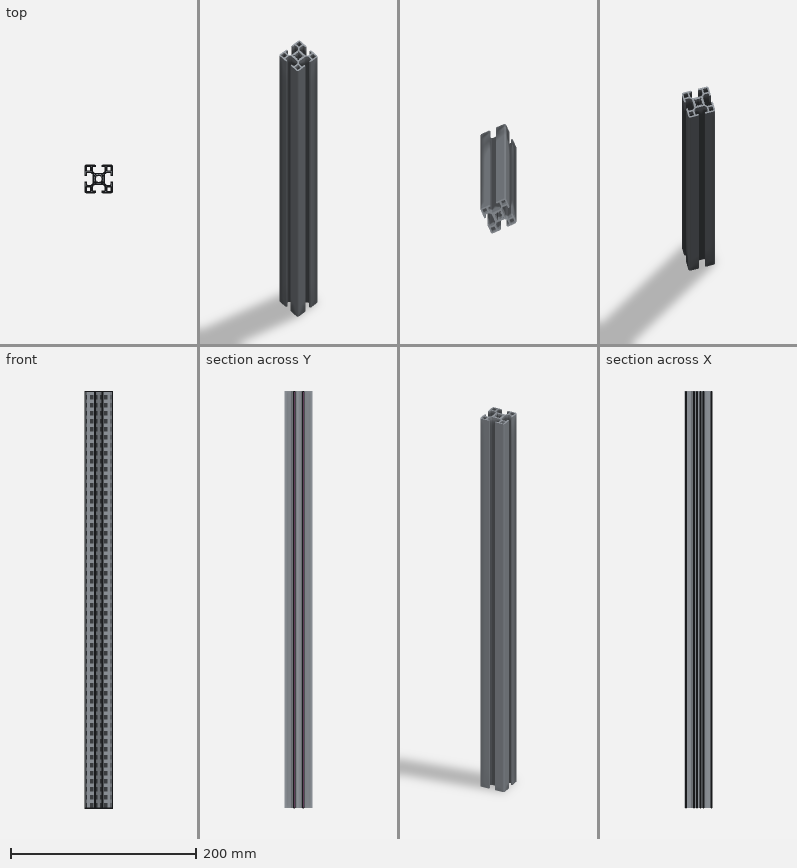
import cadquery as cq
import math

SIDE = 30.0
LENGTH = 450.0
CORNER_RADIUS = 2.0

SLOT_OPENING = 7.1
MOUTH_STEP_WIDTH = 0.85
MOUTH_STEP_DEPTH = 0.3
SLOT_WIDTH = 13.8
LIP_THICKNESS = 1.85
SLOT_CORNER_FILLET = 0.5

CORE_SIDE = 11.9
WEB_THICKNESS = 1.67

BORE_DIAMETER = 7.5
LOBE_WIDTH = 1.5
LOBE_SPAN = 11.4

HOLLOW_SIDE = 4.7
HOLLOW_OFFSET = 11.0

HALF_SIDE = SIDE / 2
QUARTER_TURN = 90
SLOT_ANGLES = [index * QUARTER_TURN for index in range(4)]
DIAGONAL_ANGLES = [45, 135]


def turned(body, angle):
    """Turn a body about the length axis of the bar."""
    return body.rotate((0, 0, 0), (0, 0, 1), angle)


def outer_bar():
    return cq.Workplane("XY").rect(SIDE, SIDE).extrude(LENGTH).edges("|Z").fillet(CORNER_RADIUS)


def slot_cutter():
    """T-slot open to +Y, narrowing along the diagonal webs down to a floor on the core."""
    half_opening = SLOT_OPENING / 2
    half_mouth = half_opening + MOUTH_STEP_WIDTH
    half_width = SLOT_WIDTH / 2
    half_core = CORE_SIDE / 2
    step_floor = HALF_SIDE - MOUTH_STEP_DEPTH
    lip_underside = HALF_SIDE - LIP_THICKNESS
    web_shift = WEB_THICKNESS / 2 * math.sqrt(2)
    right_half = [
        (half_mouth, HALF_SIDE),
        (half_mouth, step_floor),
        (half_opening, step_floor),
        (half_opening, lip_underside),
        (half_width, lip_underside),
        (half_width, half_width + web_shift),
        (half_core - web_shift, half_core),
    ]
    left_half = [(-x, y) for x, y in reversed(right_half)]
    cutter = cq.Workplane("XY").polyline(right_half + left_half).close().extrude(LENGTH)
    under_lips = cq.selectors.BoxSelector(
        (-SIDE, lip_underside - SLOT_CORNER_FILLET, 0),
        (SIDE, lip_underside + SLOT_CORNER_FILLET, LENGTH),
    )
    flank_corners = cutter.edges("|Z").edges(under_lips).edges("<X or >X")
    return flank_corners.fillet(SLOT_CORNER_FILLET)


def cut_slots(bar):
    slot = slot_cutter()
    for angle in SLOT_ANGLES:
        bar = bar.cut(turned(slot, angle))
    return bar


def cut_core_bore(bar):
    bar = bar.cut(cq.Workplane("XY").circle(BORE_DIAMETER / 2).extrude(LENGTH))
    lobes = cq.Workplane("XY").slot2D(LOBE_SPAN, LOBE_WIDTH).extrude(LENGTH)
    for angle in DIAGONAL_ANGLES:
        bar = bar.cut(turned(lobes, angle))
    return bar


def cut_corner_hollows(bar):
    spacing = 2 * HOLLOW_OFFSET
    hollows = (
        cq.Workplane("XY")
        .rect(spacing, spacing, forConstruction=True)
        .vertices()
        .rect(HOLLOW_SIDE, HOLLOW_SIDE)
        .extrude(LENGTH)
    )
    return bar.cut(hollows)


result = cut_corner_hollows(cut_core_bore(cut_slots(outer_bar())))